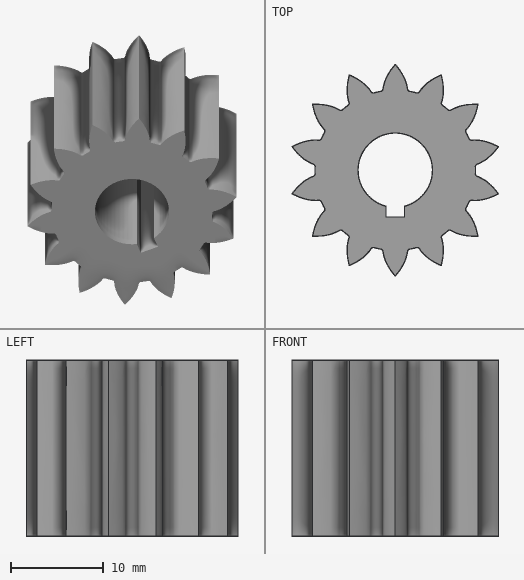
import cadquery as cq
import math

tooth_count = 14
tip_diameter = 22.9
face_width = 19.05
pressure_angle = math.radians(14.5)
root_radius = 8.68
root_fillet = 0.27
flank_point_count = 8

bore_diameter = 8.02
keyway_width = 2.0
keyway_floor_distance = 5.04

tip_radius = tip_diameter / 2
module = tip_diameter / (tooth_count + 4)
base_radius = module * tooth_count / 2 * math.cos(pressure_angle)
tooth_pitch_angle = 2 * math.pi / tooth_count
first_tooth_angle = math.pi / 2


def involute(radius):
    """Polar angle swept by the involute from the base circle out to a radius."""
    angle = math.acos(base_radius / radius)
    return math.tan(angle) - angle


def half_tooth_angle(radius):
    """Half the angle a tooth spans at a radius; its flanks meet at the tip."""
    return involute(tip_radius) - involute(radius)


def polar(radius, angle):
    return (radius * math.cos(angle), radius * math.sin(angle))


def flank(tooth_angle, side):
    """Points along one flank from root to tip; side is -1 or +1."""
    step = (tip_radius - root_radius) / (flank_point_count - 1)
    radii = [root_radius + i * step for i in range(flank_point_count)]
    return [polar(r, tooth_angle + side * half_tooth_angle(r)) for r in radii]


def gear_outline():
    outline = cq.Workplane("XY").moveTo(*flank(first_tooth_angle, -1)[0])
    for tooth in range(tooth_count):
        tooth_angle = first_tooth_angle + tooth * tooth_pitch_angle
        rising = flank(tooth_angle, -1)
        falling = flank(tooth_angle, 1)[::-1]
        gap_middle = polar(root_radius, tooth_angle + tooth_pitch_angle / 2)
        next_root = flank(tooth_angle + tooth_pitch_angle, -1)[0]
        outline = (
            outline.spline(rising[1:], includeCurrent=True)
            .spline(falling[1:], includeCurrent=True)
            .threePointArc(gap_middle, next_root)
        )
    return outline.close()


def is_root_edge(edge):
    """True for upright edges nearer to the root circle than to the tips."""
    center = edge.Center()
    return math.hypot(center.x, center.y) < (root_radius + tip_radius) / 2


def toothed_blank():
    blank = gear_outline().extrude(face_width)
    return blank.edges("|Z").filter(is_root_edge).fillet(root_fillet)


def bore_with_keyway():
    bore = cq.Workplane("XY").circle(bore_diameter / 2).extrude(face_width)
    keyway = (
        cq.Workplane("XY")
        .center(0, -keyway_floor_distance / 2)
        .rect(keyway_width, keyway_floor_distance)
        .extrude(face_width)
    )
    return bore.union(keyway)


result = toothed_blank().cut(bore_with_keyway())